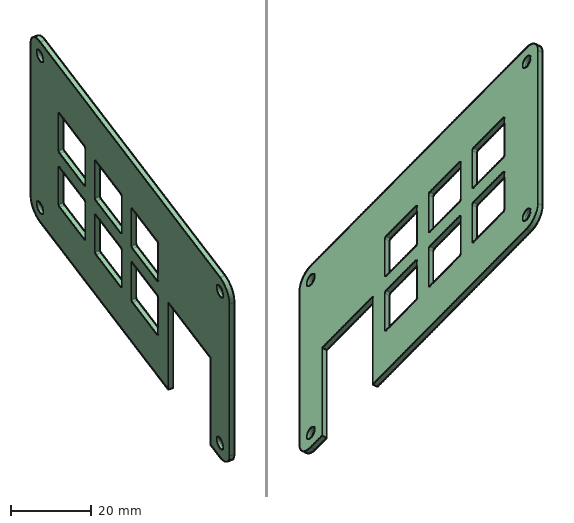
import cadquery as cq

plate_length = 104.3
plate_height = 63.9
plate_thickness = 1.5
corner_radius = 5.0

screw_hole_diameter = 3.4
screw_spacing_x = plate_length - 2 * corner_radius
screw_spacing_z = plate_height - 2 * corner_radius

key_columns = 3
key_rows = 2
key_size = 14.0
key_pitch = 19.1
key_corner_radius = 0.5
key_grid_center_x = -11.4
key_grid_center_z = -1.0

notch_width = 22.0
notch_depth = 30.9
notch_right_margin = 10.0


def make_plate():
    plate = cq.Workplane("XY").box(plate_length, plate_thickness, plate_height)
    return plate.edges("|Y").fillet(corner_radius)


def make_screw_holes():
    return (
        cq.Workplane("XZ")
        .rect(screw_spacing_x, screw_spacing_z, forConstruction=True)
        .vertices()
        .circle(screw_hole_diameter / 2)
        .extrude(plate_thickness, both=True)
    )


def make_key_openings():
    return (
        cq.Workplane("XZ")
        .center(key_grid_center_x, key_grid_center_z)
        .rarray(key_pitch, key_pitch, key_columns, key_rows)
        .rect(key_size, key_size)
        .extrude(plate_thickness, both=True)
        .edges("|Y")
        .fillet(key_corner_radius)
    )


def make_notch():
    center_x = plate_length / 2 - notch_right_margin - notch_width / 2
    return (
        cq.Workplane("XZ")
        .center(center_x, -plate_height / 2)
        .rect(notch_width, 2 * notch_depth)
        .extrude(plate_thickness, both=True)
    )


result = make_plate().cut(make_screw_holes()).cut(make_key_openings()).cut(make_notch())